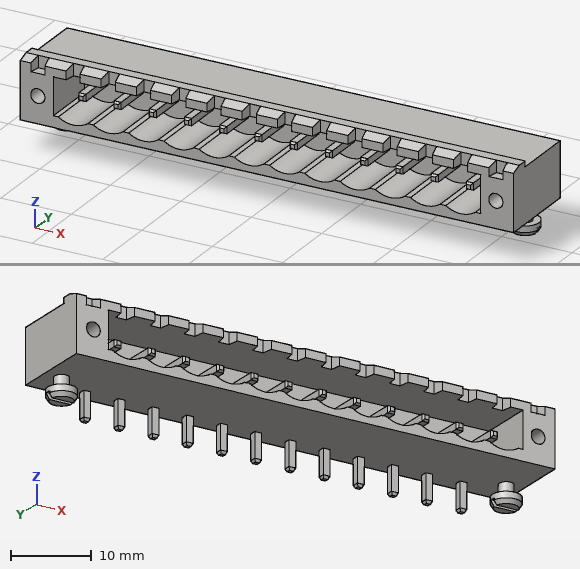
import cadquery as cq
import math

length = 70.0
depth = 12.0
body_height = 7.8
pin_count = 12
pitch = 5.0

lip_height = 8.6
lip_depth = 3.0
bevel_depth = 1.5
bevel_drop = 0.5

cavity_length = 60.6
cavity_depth = 8.0
cavity_roof = 6.9
cavity_floor = 1.6
scallop_half_width = 2.1
scallop_drop = 0.65

slot_front_width = 2.0
slot_back_width = 1.5

pin_width = 1.0
pin_axis_z = 3.8
pin_drop_y = 10.0
pin_tip_y = 2.0
pin_protrusion = 4.0
tip_length = 0.4
tip_inset = 0.2

flange_x = (pin_count + 1) * pitch / 2
hole_diameter = 2.0
hole_depth = 5.0
screw_y = 7.5
shank_diameter = 2.0
shank_length = 1.7
head_diameter = 4.0
head_height = 1.5
head_chamfer_radial = 0.4
head_chamfer_axial = 0.6
drive_slot_width = 0.6
drive_slot_depth = 0.85

pin_positions = [(i - (pin_count - 1) / 2) * pitch for i in range(pin_count)]
flange_positions = [-flange_x, flange_x]


def make_housing():
    """Side profile with the bevelled lip, extruded over the full length."""
    profile = [
        (0, 0),
        (depth, 0),
        (depth, body_height),
        (lip_depth, body_height),
        (lip_depth, lip_height),
        (bevel_depth, lip_height),
        (0, lip_height - bevel_drop),
    ]
    return cq.Workplane("YZ").polyline(profile).close().extrude(length / 2, both=True)


def make_cavity():
    """Cavity outline with one shallow arc in the floor below each pin."""
    half = cavity_length / 2
    outline = cq.Workplane("XZ").moveTo(-half, cavity_roof).lineTo(-half, cavity_floor)
    for x in pin_positions:
        outline = outline.lineTo(x - scallop_half_width, cavity_floor)
        outline = outline.threePointArc(
            (x, cavity_floor - scallop_drop),
            (x + scallop_half_width, cavity_floor),
        )
    outline = outline.lineTo(half, cavity_floor).lineTo(half, cavity_roof).close()
    return outline.extrude(-cavity_depth)


def make_coding_slot(x):
    """Trapezoidal notch from the cavity roof level up through the lip."""
    plan = [
        (x - slot_front_width / 2, 0),
        (x + slot_front_width / 2, 0),
        (x + slot_back_width / 2, bevel_depth),
        (x - slot_back_width / 2, bevel_depth),
    ]
    notch = cq.Workplane("XY").workplane(offset=cavity_roof).polyline(plan).close()
    return notch.extrude(lip_height - cavity_roof)


def make_screw_hole(x):
    """Blind hole in the front face of an end flange."""
    return cq.Workplane("XZ").center(x, pin_axis_z).circle(hole_diameter / 2).extrude(-hole_depth)


def make_tapered_bar(bar_length):
    """Square bar rising from Z = 0, with its far end tapered."""
    taper_angle = math.degrees(math.atan(tip_inset / tip_length))
    shaft = cq.Workplane("XY").rect(pin_width, pin_width).extrude(bar_length - tip_length)
    return shaft.faces(">Z").workplane().rect(pin_width, pin_width).extrude(tip_length, taper=taper_angle)


def make_pin(x):
    """Contact leg running forward into the cavity and solder leg running down."""
    corner_y = pin_drop_y + pin_width / 2
    corner_z = pin_axis_z + pin_width / 2
    contact = make_tapered_bar(corner_y - pin_tip_y).rotate((0, 0, 0), (1, 0, 0), 90)
    contact = contact.translate((x, corner_y, pin_axis_z))
    solder = make_tapered_bar(corner_z + pin_protrusion).rotate((0, 0, 0), (1, 0, 0), 180)
    solder = solder.translate((x, pin_drop_y, corner_z))
    return contact.union(solder)


def make_mounting_screw(x):
    """Slotted screw hanging below an end flange, revolved about its axis."""
    shank_radius = shank_diameter / 2
    head_radius = head_diameter / 2
    head_bottom = -shank_length - head_height
    profile = [
        (0, 0),
        (shank_radius, 0),
        (shank_radius, -shank_length),
        (head_radius, -shank_length),
        (head_radius, head_bottom + head_chamfer_axial),
        (head_radius - head_chamfer_radial, head_bottom),
        (0, head_bottom),
    ]
    screw = cq.Workplane("XZ").polyline(profile).close().revolve(360, (0, 0), (0, 1))
    drive_slot = cq.Workplane("XY").box(
        head_diameter, drive_slot_width, drive_slot_depth, centered=(True, True, False)
    )
    screw = screw.cut(drive_slot.translate((0, 0, head_bottom)))
    return screw.translate((x, screw_y, 0))


result = make_housing().cut(make_cavity())

for x in flange_positions + pin_positions:
    result = result.cut(make_coding_slot(x))

for x in flange_positions:
    result = result.cut(make_screw_hole(x))
    result = result.union(make_mounting_screw(x))

for x in pin_positions:
    result = result.union(make_pin(x))